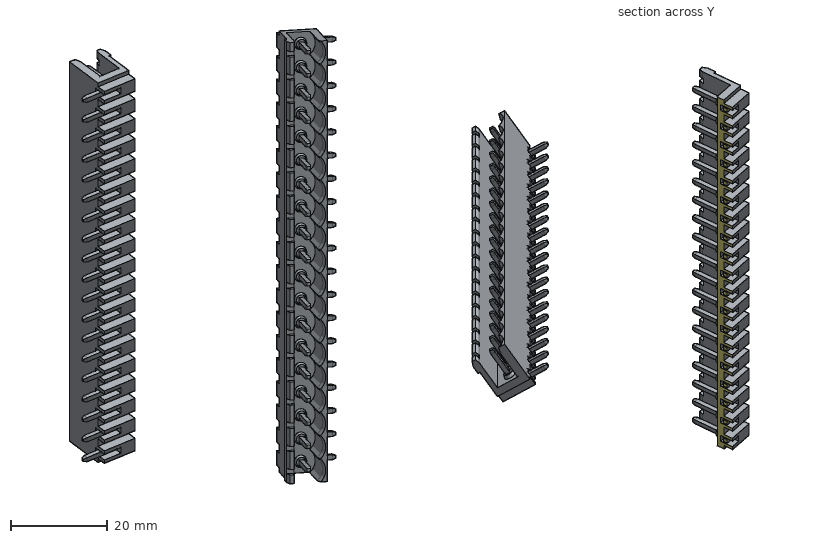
import cadquery as cq


length = 95.0
pin_count = 19
pitch = length / pin_count
pin_heights = [(i + 0.5) * pitch for i in range(pin_count)]

back_wall_start = 8.2
body_depth = 10.0
total_depth = 12.2
upper_wall_inner = 6.8
upper_wall_outer = 8.0

lip_length = 3.1
lip_top = 8.5
lip_rise_length = 1.1
lip_chamfer_length = 0.95
lip_chamfer_height = 0.3
lip_gap_depth = 1.1
lip_gap_width = 1.1

scallop_radius = 3.1
mouth_radius = 3.4
mouth_length = 1.3

tab_height = 3.1
slot_start = 9.1
slot_height = 1.4

pin_size = 1.0
pin_axis_y = 3.8
pin_axis_x = 10.3
contact_tip_x = 0.9
contact_tip_size = 0.8
contact_taper = 0.8
solder_tip_y = -4.2
solder_tip_size = 0.6
solder_taper = 0.8

collar_length = 0.8
collar_tip_radius = 1.0
collar_base_radius = 1.3


def block(x_range, y_range, z_range):
    """Axis-aligned block between the given limits."""
    sizes = [high - low for low, high in (x_range, y_range, z_range)]
    corner = (x_range[0], y_range[0], z_range[0])
    return cq.Workplane("XY").box(*sizes, centered=False).translate(corner)


def span(center, width):
    return center - width / 2, center + width / 2


def axial_plane(x, z):
    """Plane facing +X, centred on the contact axis at height z."""
    return cq.Workplane("YZ", origin=(x, pin_axis_y, z))


def housing_body():
    """Closed outline of the housing with the latching lip, before the channel is cut."""
    outline = [
        (0, 0),
        (body_depth, 0),
        (body_depth, upper_wall_outer),
        (lip_length, upper_wall_outer),
        (lip_length, lip_top),
        (lip_rise_length, lip_top),
        (0, upper_wall_outer),
    ]
    return cq.Workplane("XY").polyline(outline).close().extrude(length)


def upper_channel():
    """Flat-sided half of the channel, flared at the mouth by the lip chamfer."""
    outline = [
        (0, pin_axis_y),
        (back_wall_start, pin_axis_y),
        (back_wall_start, upper_wall_inner),
        (lip_chamfer_length, upper_wall_inner),
        (0, upper_wall_inner + lip_chamfer_height),
    ]
    return cq.Workplane("XY").polyline(outline).close().extrude(length)


def lower_scallop(z):
    """Half-round groove below one contact axis, widening towards the mouth."""
    profile = [
        (0, 0),
        (0, -mouth_radius),
        (mouth_length, -scallop_radius),
        (back_wall_start, -scallop_radius),
        (back_wall_start, 0),
    ]
    groove = (
        cq.Workplane("XY", origin=(0, pin_axis_y, z))
        .polyline(profile)
        .close()
        .revolve(360, (0, 0, 0), (1, 0, 0))
    )
    lower_half = block((0, back_wall_start), (0, pin_axis_y), span(z, pitch))
    return groove.intersect(lower_half)


def lip_gap(z):
    return block((0, lip_gap_depth), (upper_wall_inner, lip_top), span(z, lip_gap_width))


def rear_tab(z):
    return block((body_depth, total_depth), (0, upper_wall_outer), span(z, tab_height))


def bend_slot(z):
    """Slot open at the rear and the mounting face, as deep as the pin's outer bend."""
    return block((slot_start, total_depth), (0, pin_axis_y + pin_size / 2), span(z, slot_height))


def bent_pin(z):
    """L-shaped square pin with tapered ends."""
    contact_start = contact_tip_x + contact_taper
    contact_leg = block(
        (contact_start, pin_axis_x + pin_size / 2),
        span(pin_axis_y, pin_size),
        span(z, pin_size),
    )
    contact_tip = (
        axial_plane(contact_tip_x, z)
        .rect(contact_tip_size, contact_tip_size)
        .workplane(offset=contact_taper)
        .rect(pin_size, pin_size)
        .loft()
    )
    solder_start = solder_tip_y + solder_taper
    solder_leg = block(
        span(pin_axis_x, pin_size),
        (solder_start, pin_axis_y),
        span(z, pin_size),
    )
    solder_tip = (
        cq.Workplane("XZ", origin=(pin_axis_x, solder_start, z))
        .rect(pin_size, pin_size)
        .workplane(offset=solder_taper)
        .rect(solder_tip_size, solder_tip_size)
        .loft()
    )
    return contact_leg.union(contact_tip).union(solder_leg).union(solder_tip)


def collar(z):
    return (
        axial_plane(back_wall_start - collar_length, z)
        .circle(collar_tip_radius)
        .workplane(offset=collar_length)
        .circle(collar_base_radius)
        .loft()
    )


def row_of(make_feature):
    """One solid of the given feature at every pin height."""
    return [make_feature(z).solids().val() for z in pin_heights]


housing = housing_body().cut(upper_channel()).val()
housing = housing.cut(*row_of(lower_scallop), *row_of(lip_gap))
housing = housing.fuse(*row_of(rear_tab))
housing = housing.cut(*row_of(bend_slot))
header = housing.fuse(*row_of(collar), *row_of(bent_pin))
result = cq.Workplane("XY").newObject(header.clean().Solids())